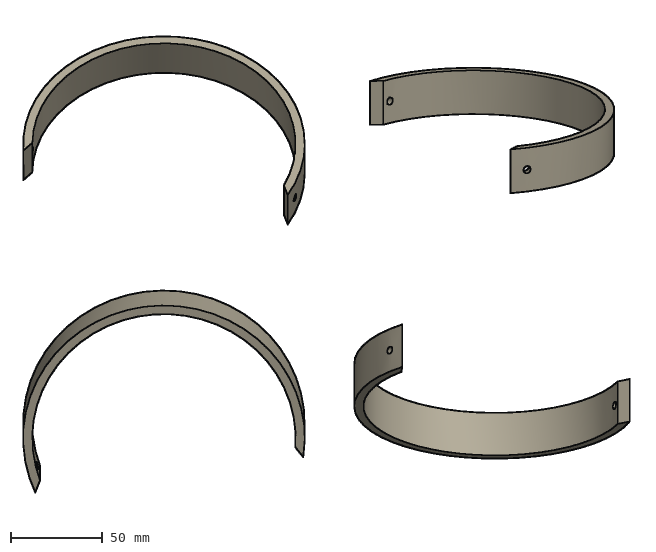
import cadquery as cq
import math

overall_width = 153.0
band_height = 25.0
wall = 5.0
right_tip_angle = 3.8
left_tip_angle = 216.0
bevel_angle = 45.0
hole_diameter = 4.0
hole_setback = 7.2
hole_tilt = 11.0

outer_radius = overall_width / (1 + math.cos(math.radians(right_tip_angle)))
inner_radius = outer_radius - wall

bevel_sine = math.sin(math.radians(bevel_angle))
bevel_arc = math.degrees(math.asin(outer_radius * bevel_sine / inner_radius)) - bevel_angle


def polar(radius, angle):
    """Point in the XY plane at an angle in degrees about the band's axis."""
    turn = math.radians(angle)
    return (radius * math.cos(turn), radius * math.sin(turn))


def make_band():
    """Open ring whose two ends are bevelled to a sharp outer edge."""
    middle_angle = (right_tip_angle + left_tip_angle) / 2
    return (
        cq.Workplane("XY")
        .workplane(offset=-band_height / 2)
        .moveTo(*polar(outer_radius, right_tip_angle))
        .threePointArc(polar(outer_radius, middle_angle), polar(outer_radius, left_tip_angle))
        .lineTo(*polar(inner_radius, left_tip_angle - bevel_arc))
        .threePointArc(
            polar(inner_radius, middle_angle),
            polar(inner_radius, right_tip_angle + bevel_arc),
        )
        .close()
        .extrude(band_height)
    )


def make_hole(angle, axis_angle):
    """Cylinder through the wall at mid-height, meeting the outer face at the given angle."""
    outside = cq.Vector(*polar(outer_radius, angle), 0)
    inward = cq.Vector(*polar(-1, axis_angle), 0)
    start = outside - inward * wall
    length = 3 * wall
    return cq.Solid.makeCylinder(hole_diameter / 2, length, start, inward)


right_hole_angle = right_tip_angle + hole_setback
left_hole_angle = left_tip_angle - hole_setback

result = (
    make_band()
    .cut(cq.Workplane(make_hole(right_hole_angle, right_hole_angle - hole_tilt)))
    .cut(cq.Workplane(make_hole(left_hole_angle, left_hole_angle + hole_tilt)))
)